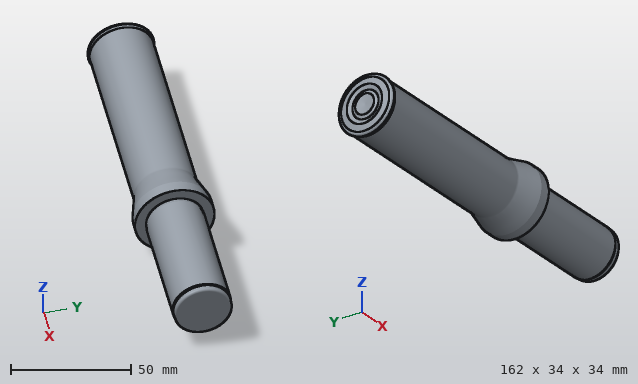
import cadquery as cq
import math

total_length = 162.0

pilot_flat_radius = 0.25
pilot_cone_radius = 4.9
valley_radius = 6.75
crest_radius = 9.15
outer_cone_radius = 12.5
cutting_radius = 14.25
pilot_flat_depth = 0.7
pilot_rim_depth = 0.15
valley_depth = 0.75
corner_radius = 1.2
corner_end = 1.6
tip_length = 3.0

body_radius = 27.5 / 2
collar_radius = 34.0 / 2
collar_start = 101.0
collar_end = 106.0
flare_length = 11.9
flare_start = collar_start - flare_length
flare_blend_radius = 4.0

shank_radius = 25.0 / 2
relief_radius = 24.5 / 2
neck_end = 107.2
neck_taper_end = 108.0
tail_taper_start = 158.5
tail_start = 159.0
shank_end_fillet = 1.0


def revolve_about_x(profile):
    """Turn a closed half profile, drawn as (X, radius), into a solid around the X axis."""
    return profile.revolve(360, (0, 0, 0), (1, 0, 0))


def make_cutting_tip():
    """Tip with a W-shaped end face, a rounded cutting corner and a back taper to the body."""
    corner_center_radius = cutting_radius - corner_radius
    start_angle = math.asin((outer_cone_radius - corner_center_radius) / corner_radius)
    middle_angle = (start_angle + math.pi / 2) / 2
    corner_start = (corner_end - corner_radius * math.cos(start_angle), outer_cone_radius)
    corner_middle = (
        corner_end - corner_radius * math.cos(middle_angle),
        corner_center_radius + corner_radius * math.sin(middle_angle),
    )
    profile = (
        cq.Workplane("XY")
        .moveTo(tip_length, 0)
        .lineTo(pilot_flat_depth, 0)
        .lineTo(pilot_flat_depth, pilot_flat_radius)
        .lineTo(pilot_rim_depth, pilot_cone_radius)
        .lineTo(valley_depth, valley_radius)
        .lineTo(0, crest_radius)
        .lineTo(*corner_start)
        .threePointArc(corner_middle, (corner_end, cutting_radius))
        .lineTo(tip_length, body_radius)
        .close()
    )
    return revolve_about_x(profile)


def make_holder():
    """Drill body, flared collar and shank in one piece, behind the cutting tip."""
    flare_angle = math.atan2(collar_radius - body_radius, flare_length)
    blend_reach = flare_blend_radius * math.tan(flare_angle / 2)
    blend_start = (flare_start - blend_reach, body_radius)
    blend_end = (
        flare_start + blend_reach * math.cos(flare_angle),
        body_radius + blend_reach * math.sin(flare_angle),
    )
    blend_middle = (
        blend_start[0] + flare_blend_radius * math.sin(flare_angle / 2),
        body_radius + flare_blend_radius * (1 - math.cos(flare_angle / 2)),
    )
    fillet_end = (total_length, relief_radius - shank_end_fillet)
    fillet_inset = shank_end_fillet * (1 - math.sqrt(0.5))
    fillet_middle = (total_length - fillet_inset, relief_radius - fillet_inset)
    profile = (
        cq.Workplane("XY")
        .moveTo(tip_length, 0)
        .lineTo(tip_length, body_radius)
        .lineTo(*blend_start)
        .threePointArc(blend_middle, blend_end)
        .lineTo(collar_start, collar_radius)
        .lineTo(collar_end, collar_radius)
        .lineTo(collar_end, relief_radius)
        .lineTo(neck_end, relief_radius)
        .lineTo(neck_taper_end, shank_radius)
        .lineTo(tail_taper_start, shank_radius)
        .lineTo(tail_start, relief_radius)
        .lineTo(total_length - shank_end_fillet, relief_radius)
        .threePointArc(fillet_middle, fillet_end)
        .lineTo(total_length, 0)
        .close()
    )
    return revolve_about_x(profile)


cutting_tip = make_cutting_tip()
holder = make_holder()

result = cq.Compound.makeCompound([cutting_tip.val(), holder.val()])